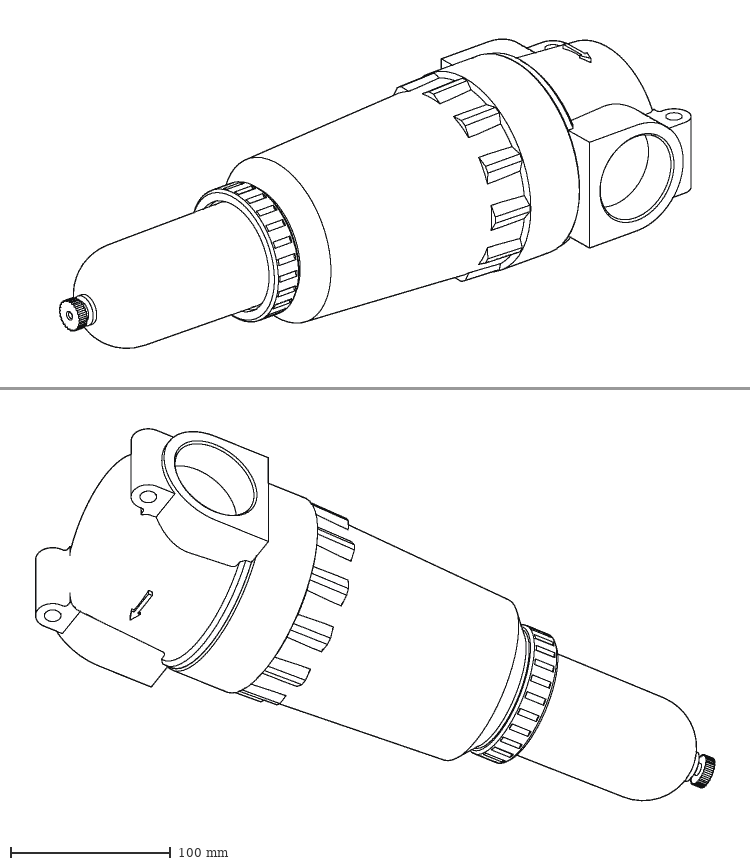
import cadquery as cq
import math


HEAD_WIDTH = 148.0
PORT_BLOCK_RADIUS = 37.0
PORT_DIAMETER = 57.0
PORT_DEPTH = 23.5
PORT_CHAMFER = 1.5
BARREL_TOP_RADIUS = 53.0
BARREL_BOTTOM_RADIUS = 57.5
BARREL_TOP_FILLET = 5.5
BARREL_ROOT_FILLET = 2.5
FLANGE_RADIUS = 64.5
FLANGE_CHAMFER = 2.5
FLANGE_TOP_Y = -31.5
JOINT_Y = -38.0

EAR_TOP_Y = 51.5
EAR_RADIUS = 10.7
EAR_HOLE_DIAMETER = 10.5
EAR_OFFSET_X = 60.5
EAR_THICKNESS = 49.5
EAR_ROOT_X = 44.8
EAR_ROOT_FILLET = 2.2

ARROW_LENGTH = 26.0
ARROW_HEAD_LENGTH = 7.5
ARROW_HEAD_WIDTH = 6.3
ARROW_SHAFT_WIDTH = 2.5
ARROW_Y = 12.0
ARROW_TOP_Z = 56.0

COLLAR_RADIUS = 131.0 / 2
COLLAR_TOP_CHAMFER = 1.5
COLLAR_BOTTOM_Y = -78.5
COLLAR_BEVEL_HEIGHT = 2.0
BOWL_TOP_RADIUS = 61.8
BOWL_BOTTOM_RADIUS = 54.0
BOWL_BOTTOM_Y = -229.5
CONE_BOTTOM_Y = -243.0
NECK_RADIUS = 80.0 / 2

RIB_COUNT = 12
RIB_BOTTOM_Y = -105.5
RIB_CREST_RADIUS = 65.0
RIB_INWARD_DRIFT = 1.0
RIB_BASE_RADIUS = 61.0
RIB_BASE_WIDTH = 17.5
RIB_CREST_WIDTH = 4.5

RING_RADIUS = 87.0 / 2
RING_TOP_Y = -245.2
RING_BOTTOM_Y = -265.0
RING_CHAMFER = 2.0
RING_RIM_HEIGHT = 3.0
RING_BORE_RADIUS = 72.5 / 2
RING_BORE_DEPTH = 4.5
RING_GROOVE_COUNT = 24
RING_GROOVE_RADIUS = 2.2
RING_GROOVE_DEPTH = 1.5

DOME_TOP_RADIUS = 34.5
DOME_RADIUS = 33.5
DOME_CENTRE_Y = -350.0

DRAIN_SEAT_RADIUS = 10.0
DRAIN_SEAT_END_RADIUS = 14.0 / 2
DRAIN_SEAT_CHAMFER_Y = -385.0
DRAIN_SEAT_BOTTOM_Y = -386.0
STEM_RADIUS = 8.0 / 2
KNOB_RADIUS = 20.0 / 2
KNOB_TOP_Y = -389.8
KNOB_GROOVE_COUNT = 24
KNOB_GROOVE_RADIUS = 0.65
DRAIN_HOLE_DIAMETER = 4.0
DRAIN_HOLE_CHAMFER = 1.0
OVERALL_LENGTH = 447.5
BOTTOM_Y = EAR_TOP_Y - OVERALL_LENGTH


def revolved(points):
    """Solid of revolution about Y from (radius, y) points."""
    return cq.Workplane("XY").polyline(points).close().revolve(360, (0, 0, 0), (0, 1, 0))


def plane_at(y):
    """Workplane across the filter axis whose extrusions run toward -Y."""
    return cq.Workplane("XZ", origin=(0, y, 0))


def grooves(count, pitch_radius, groove_radius, top_y, bottom_y):
    """Ring of round cutters that run along Y, one of them facing +Z."""
    return (
        plane_at(top_y)
        .polarArray(pitch_radius, 90, 360, count)
        .circle(groove_radius)
        .extrude(top_y - bottom_y)
    )


def make_barrel():
    barrel = revolved([
        (0, PORT_BLOCK_RADIUS),
        (BARREL_TOP_RADIUS, PORT_BLOCK_RADIUS),
        (BARREL_BOTTOM_RADIUS, FLANGE_TOP_Y),
        (FLANGE_RADIUS - FLANGE_CHAMFER, FLANGE_TOP_Y),
        (FLANGE_RADIUS, FLANGE_TOP_Y - FLANGE_CHAMFER),
        (FLANGE_RADIUS, JOINT_Y),
        (0, JOINT_Y),
    ])
    barrel = barrel.faces(">Y").edges().fillet(BARREL_TOP_FILLET)
    root_point = (0, FLANGE_TOP_Y, BARREL_BOTTOM_RADIUS)
    root_edge = cq.selectors.NearestToPointSelector(root_point)
    return barrel.edges(root_edge).fillet(BARREL_ROOT_FILLET)


def make_port_block():
    """Block across the head, rounded about the port axis on its upper side."""
    return (
        cq.Workplane("YZ", origin=(-HEAD_WIDTH / 2, 0, 0))
        .moveTo(JOINT_Y, PORT_BLOCK_RADIUS)
        .lineTo(0, PORT_BLOCK_RADIUS)
        .threePointArc((PORT_BLOCK_RADIUS, 0), (0, -PORT_BLOCK_RADIUS))
        .lineTo(JOINT_Y, -PORT_BLOCK_RADIUS)
        .close()
        .extrude(HEAD_WIDTH)
    )


def make_ear(side):
    """Rounded lug that holds the mounting hole, with a web that joins the barrel."""
    hole_y = EAR_TOP_Y - EAR_RADIUS
    inner_x = EAR_OFFSET_X - EAR_RADIUS
    outer_x = EAR_OFFSET_X + EAR_RADIUS
    ear = (
        cq.Workplane("XY", origin=(0, 0, -EAR_THICKNESS / 2))
        .moveTo(EAR_ROOT_X, 0)
        .lineTo(outer_x, 0)
        .lineTo(outer_x, hole_y)
        .threePointArc((EAR_OFFSET_X, EAR_TOP_Y), (inner_x, hole_y))
        .lineTo(inner_x, PORT_BLOCK_RADIUS)
        .lineTo(EAR_ROOT_X, PORT_BLOCK_RADIUS)
        .close()
        .extrude(EAR_THICKNESS)
    )
    root_edge = cq.selectors.NearestToPointSelector((inner_x, PORT_BLOCK_RADIUS, 0))
    ear = ear.edges("|Z").edges(root_edge).fillet(EAR_ROOT_FILLET)
    return ear if side > 0 else ear.mirror("YZ")


def make_ear_hole(side):
    hole = cq.Workplane("XY").circle(EAR_HOLE_DIAMETER / 2).extrude(EAR_THICKNESS, both=True)
    return hole.translate((side * EAR_OFFSET_X, EAR_TOP_Y - EAR_RADIUS, 0))


def make_port(side):
    """Blind port cutter with a chamfered mouth."""
    radius = PORT_DIAMETER / 2
    mouth_x = side * HEAD_WIDTH / 2
    return (
        cq.Workplane("XY")
        .polyline([
            (mouth_x, 0),
            (mouth_x, radius + PORT_CHAMFER),
            (mouth_x - side * PORT_CHAMFER, radius),
            (mouth_x - side * PORT_DEPTH, radius),
            (mouth_x - side * PORT_DEPTH, 0),
        ])
        .close()
        .revolve(360, (0, 0, 0), (1, 0, 0))
    )


def make_arrows():
    """Raised arrows toward +X on the +Z and -Z sides of the barrel."""
    tip_x = ARROW_LENGTH / 2
    barb_x = tip_x - ARROW_HEAD_LENGTH
    shaft = ARROW_SHAFT_WIDTH / 2
    barb = ARROW_HEAD_WIDTH / 2
    return (
        cq.Workplane("XY", origin=(0, ARROW_Y, 0))
        .polyline([
            (-tip_x, -shaft),
            (barb_x, -shaft),
            (barb_x, -barb),
            (tip_x, 0),
            (barb_x, barb),
            (barb_x, shaft),
            (-tip_x, shaft),
        ])
        .close()
        .extrude(ARROW_TOP_Z, both=True)
    )


def make_head():
    head = make_barrel().union(make_port_block()).union(make_arrows())
    for side in (-1, 1):
        head = head.union(make_ear(side))
    for side in (-1, 1):
        head = head.cut(make_ear_hole(side)).cut(make_port(side))
    return head


def make_shell():
    """Collar, tapered bowl, cone and neck."""
    return revolved([
        (0, JOINT_Y),
        (COLLAR_RADIUS - COLLAR_TOP_CHAMFER, JOINT_Y),
        (COLLAR_RADIUS, JOINT_Y - COLLAR_TOP_CHAMFER),
        (COLLAR_RADIUS, COLLAR_BOTTOM_Y),
        (BOWL_TOP_RADIUS, COLLAR_BOTTOM_Y - COLLAR_BEVEL_HEIGHT),
        (BOWL_BOTTOM_RADIUS, BOWL_BOTTOM_Y),
        (NECK_RADIUS, CONE_BOTTOM_Y),
        (NECK_RADIUS, RING_TOP_Y),
        (0, RING_TOP_Y),
    ])


def rib_profile(radial_shift):
    """Corners of a rib's trapezoid, moved along the radius."""
    half_base = RIB_BASE_WIDTH / 2
    half_crest = RIB_CREST_WIDTH / 2
    corners = [
        (-half_base, BOWL_BOTTOM_RADIUS),
        (-half_base, RIB_BASE_RADIUS),
        (-half_crest, RIB_CREST_RADIUS),
        (half_crest, RIB_CREST_RADIUS),
        (half_base, RIB_BASE_RADIUS),
        (half_base, BOWL_BOTTOM_RADIUS),
    ]
    return [(x, radius + radial_shift) for x, radius in corners]


def make_ribs():
    """Trapezoidal grip ribs that lean inward below the collar."""
    rib = (
        plane_at(COLLAR_BOTTOM_Y)
        .polyline(rib_profile(0))
        .close()
        .workplane(offset=COLLAR_BOTTOM_Y - RIB_BOTTOM_Y)
        .polyline(rib_profile(-RIB_INWARD_DRIFT))
        .close()
        .loft(ruled=True)
    )
    step = 360 / RIB_COUNT
    return [rib.rotate((0, 0, 0), (0, 1, 0), i * step) for i in range(RIB_COUNT)]


def make_ring():
    """Ring knurled between two plain rims, with a recess around the sight dome."""
    height = RING_TOP_Y - RING_BOTTOM_Y
    ring = plane_at(RING_TOP_Y).circle(RING_RADIUS).extrude(height).edges().chamfer(RING_CHAMFER)
    knurl = grooves(
        RING_GROOVE_COUNT,
        RING_RADIUS - RING_GROOVE_DEPTH + RING_GROOVE_RADIUS,
        RING_GROOVE_RADIUS,
        RING_TOP_Y - RING_RIM_HEIGHT,
        RING_BOTTOM_Y + RING_RIM_HEIGHT,
    )
    ring = ring.cut(knurl)
    recess = plane_at(RING_BOTTOM_Y + RING_BORE_DEPTH).circle(RING_BORE_RADIUS).extrude(RING_BORE_DEPTH)
    return ring.cut(recess)


def make_dome():
    """Slightly tapered tube closed by a hemisphere."""
    diagonal = DOME_RADIUS * math.sqrt(0.5)
    return (
        cq.Workplane("XY")
        .moveTo(0, RING_TOP_Y)
        .lineTo(DOME_TOP_RADIUS, RING_TOP_Y)
        .lineTo(DOME_RADIUS, DOME_CENTRE_Y)
        .threePointArc((diagonal, DOME_CENTRE_Y - diagonal), (0, DOME_CENTRE_Y - DOME_RADIUS))
        .close()
        .revolve(360, (0, 0, 0), (0, 1, 0))
    )


def make_drain():
    """Seat, stem and knurled knob with a central outlet."""
    drain = revolved([
        (0, DOME_CENTRE_Y),
        (DRAIN_SEAT_RADIUS, DOME_CENTRE_Y),
        (DRAIN_SEAT_RADIUS, DRAIN_SEAT_CHAMFER_Y),
        (DRAIN_SEAT_END_RADIUS, DRAIN_SEAT_BOTTOM_Y),
        (STEM_RADIUS, DRAIN_SEAT_BOTTOM_Y),
        (STEM_RADIUS, KNOB_TOP_Y),
        (KNOB_RADIUS, KNOB_TOP_Y),
        (KNOB_RADIUS, BOTTOM_Y),
        (0, BOTTOM_Y),
    ])
    drain = drain.cut(grooves(KNOB_GROOVE_COUNT, KNOB_RADIUS, KNOB_GROOVE_RADIUS, KNOB_TOP_Y, BOTTOM_Y))
    outlet = plane_at(KNOB_TOP_Y).circle(DRAIN_HOLE_DIAMETER / 2).extrude(KNOB_TOP_Y - BOTTOM_Y)
    rim = cq.selectors.NearestToPointSelector((0, BOTTOM_Y, DRAIN_HOLE_DIAMETER / 2))
    return drain.cut(outlet).faces("<Y").edges("%CIRCLE").edges(rim).chamfer(DRAIN_HOLE_CHAMFER)


def make_bowl():
    bowl = make_shell()
    for rib in make_ribs():
        bowl = bowl.union(rib)
    return bowl.union(make_ring()).union(make_dome()).union(make_drain())


head = make_head()
bowl = make_bowl()

result = cq.Compound.makeCompound([head.val(), bowl.val()])